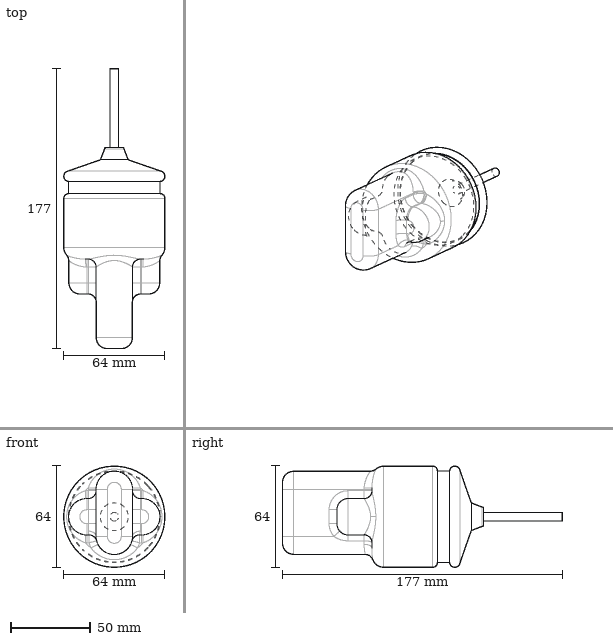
import cadquery as cq
import math

total_length = 177.0

body_radius = 32.0
body_front = 56.6
body_rear = 98.0
body_front_fillet = 7.5
body_rear_fillet = 3.0
neck_radius = 29.0
flange_front = 105.7
rim_radius = 3.4

boot_start = 119.5
boot_end = 127.3
boot_base_radius = 8.8
boot_tip_radius = 6.2
boot_tip_fillet = 0.97
cone_angle = math.radians(19.0)
cable_radius = 5.5 / 2

lobe_radius = 11.5
blade_top_center = 17.3
blade_bottom_center = -12.4
lug_center = 17.3
lug_front = 34.5
tip_fillet = 7.0
blend_radius = 5.0
seam_tolerance = 0.0002


def along_y(start, outline):
    """Place an outline on a plane facing -Y, with local x along X and local y along Z."""
    plane = cq.Plane(origin=(0, start, 0), xDir=(1, 0, 0), normal=(0, -1, 0))
    return cq.Workplane(plane).placeSketch(outline)


def make_lobe(outline, front):
    """Rounded bar from its softened front end back into the body."""
    buried_end = (body_front + body_rear) / 2
    return along_y(buried_end, outline).extrude(buried_end - front).faces("<Y").edges().fillet(tip_fillet)


def make_body():
    return (
        cq.Workplane("XZ", origin=(0, body_rear, 0))
        .circle(body_radius)
        .extrude(body_rear - body_front)
        .faces("<Y").edges().fillet(body_front_fillet)
        .faces(">Y").edges().fillet(body_rear_fillet)
    )


def make_blade():
    span = blade_top_center - blade_bottom_center
    middle = (blade_top_center + blade_bottom_center) / 2
    outline = cq.Sketch().push([(0, middle)]).slot(span, 2 * lobe_radius, angle=90)
    return make_lobe(outline, 0)


def make_lugs():
    outline = cq.Sketch().slot(2 * lug_center, 2 * lobe_radius)
    return make_lobe(outline, lug_front)


def join_blended(first, second):
    """Join two solids and round the inside corners where their surfaces meet."""
    joined = first.union(second)
    skins = [first.val().Shells()[0], second.val().Shells()[0]]
    seams = []
    for edge in joined.edges().vals():
        midpoint = cq.Vertex.makeVertex(*edge.positionAt(0.5).toTuple())
        if all(skin.distance(midpoint) < seam_tolerance for skin in skins):
            seams.append(edge)
    return joined.newObject(seams).fillet(blend_radius)


def make_back():
    """Neck, flange with rounded rim, conical back, cable boot and cable as one revolved profile."""
    rim_center_radius = body_radius - rim_radius
    rim_center = flange_front + rim_radius
    cone_edge_radius = rim_center_radius + rim_radius * math.sin(cone_angle)
    cone_edge = rim_center + rim_radius * math.cos(cone_angle)
    return (
        cq.Workplane("XY")
        .moveTo(0, body_rear)
        .lineTo(neck_radius, body_rear)
        .lineTo(neck_radius, flange_front)
        .lineTo(rim_center_radius, flange_front)
        .threePointArc((body_radius, rim_center), (cone_edge_radius, cone_edge))
        .lineTo(boot_base_radius, boot_start)
        .lineTo(boot_tip_radius, boot_end - boot_tip_fillet)
        .radiusArc((boot_tip_radius - boot_tip_fillet, boot_end), -boot_tip_fillet)
        .lineTo(cable_radius, boot_end)
        .lineTo(cable_radius, total_length)
        .lineTo(0, total_length)
        .close()
        .revolve(360, (0, 0, 0), (0, 1, 0))
    )


lobes = join_blended(make_blade(), make_lugs())
front = join_blended(make_body(), lobes)
result = front.union(make_back())